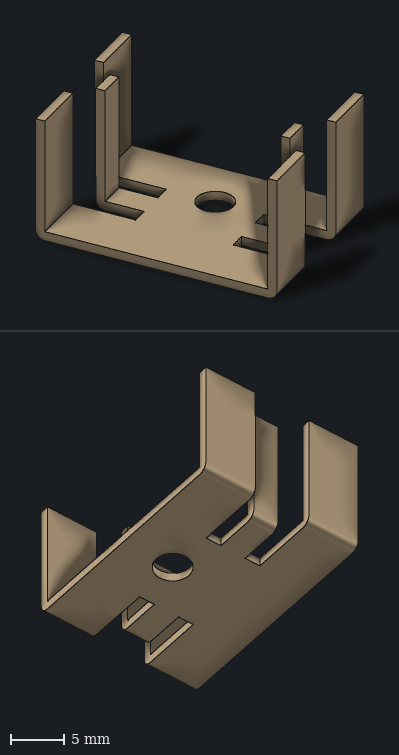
import cadquery as cq

length = 25.4
width = 18.0
height = 13.0
sheet = 1.0

outer_finger_width = 5.85
inner_finger_width = 2.87
inner_span = 20.42
web_length = 10.25

hole_diameter = 3.8
hole_y = 3.2


def channel(span, depth):
    """U-shaped strip with rounded outer bends, centred in X and Y, standing on Z = 0."""
    body = cq.Workplane("XY").box(span, depth, height, centered=(True, True, False))
    body = body.edges("|Y and <Z").fillet(sheet)
    inside = cq.Workplane("XY").box(span - 2 * sheet, depth, height, centered=(True, True, False))
    return body.cut(inside.translate((0, 0, sheet)))


result = cq.Workplane("XY").box(web_length, width, sheet, centered=(True, True, False))
outer_finger_y = (width - outer_finger_width) / 2
for side in (-1, 1):
    strip = channel(length, outer_finger_width).translate((0, side * outer_finger_y, 0))
    result = result.union(strip)

result = result.union(channel(inner_span, inner_finger_width))

hole = cq.Workplane("XY").center(0, hole_y).circle(hole_diameter / 2).extrude(sheet)
result = result.cut(hole)